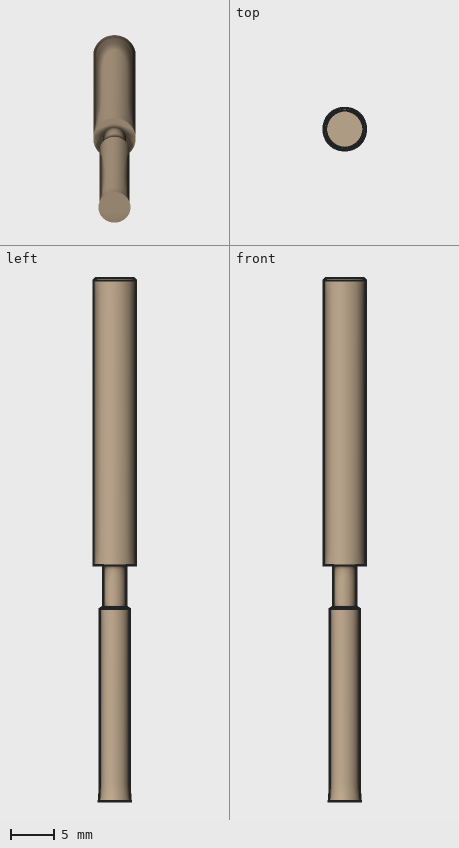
import cadquery as cq

total_length = 60.3

barrel_diameter = 4.9
barrel_bottom = 27.2
barrel_chamfer = 0.3

stem_diameter = 3.5
neck_diameter = 2.7
tip_diameter = 3.7
flare_height = 2.0
shoulder_top = 22.4
shoulder_height = 0.25


def make_barrel():
    """Solid cylinder with a chamfered upper rim."""
    return (
        cq.Workplane("XY", origin=(0, 0, barrel_bottom))
        .circle(barrel_diameter / 2)
        .extrude(total_length - barrel_bottom)
        .faces(">Z")
        .chamfer(barrel_chamfer)
    )


def make_plunger():
    """Revolved stem with a flared tip, a conical shoulder and a neck that meets the barrel."""
    stem_radius = stem_diameter / 2
    neck_radius = neck_diameter / 2
    tip_radius = tip_diameter / 2

    shoulder_bottom = shoulder_top - shoulder_height

    return (
        cq.Workplane("XZ")
        .moveTo(0, barrel_bottom)
        .lineTo(neck_radius, barrel_bottom)
        .lineTo(neck_radius, shoulder_top)
        .lineTo(stem_radius, shoulder_bottom)
        .lineTo(stem_radius, flare_height)
        .tangentArcPoint((tip_radius, 0), relative=False)
        .lineTo(0, 0)
        .close()
        .revolve(360, (0, 0), (0, 1))
    )


barrel = make_barrel()
plunger = make_plunger()

result = cq.Compound.makeCompound([barrel.val(), plunger.val()])